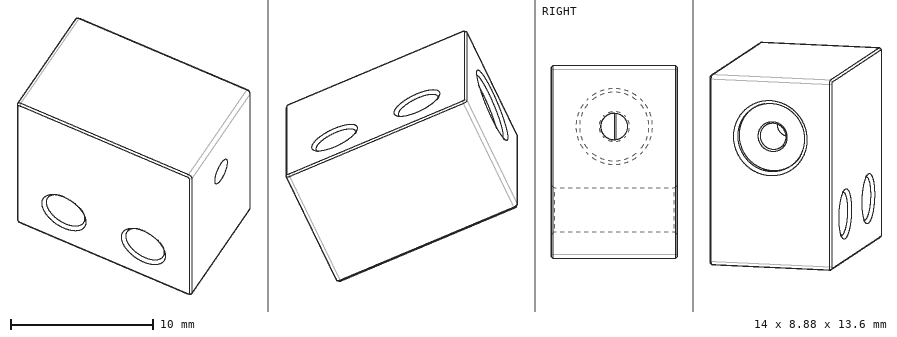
import cadquery as cq

LENGTH = 13.97
DEPTH = 8.88
HEIGHT = 13.59
CORNER_RADIUS = 0.28
FACE_CHAMFER = 0.14

MOUNT_DIAMETER = 3.07
MOUNT_RIM_DIAMETER = 3.53
MOUNT_SPACING = 6.35
MOUNT_HEIGHT = 3.42

BORE_HEIGHT = 9.29
BORE_DIAMETER = 1.87
BORE_RIM_DIAMETER = 2.12
RECESS_DIAMETER = 4.86
RECESS_RIM_DIAMETER = 5.36
RECESS_DEPTH = 0.64

PIN_DIAMETER = 3.07
PIN_END_CHAMFER = 0.13


def countersink(plane, rim_diameter, hole_diameter):
    """45 degree cone narrowing from the plane along its normal."""
    depth = (rim_diameter - hole_diameter) / 2
    return cq.Workplane(plane).circle(rim_diameter / 2).workplane(offset=depth).circle(hole_diameter / 2).loft()


def cylinder(plane, diameter, length):
    return cq.Workplane(plane).circle(diameter / 2).extrude(length)


def make_block():
    block = cq.Workplane("XY").box(LENGTH, DEPTH, HEIGHT, centered=(True, True, False))
    block = block.edges("|Y").fillet(CORNER_RADIUS)
    return block.faces("<Y or >Y").edges().chamfer(FACE_CHAMFER)


def make_mount_hole(x):
    front = cq.Plane(origin=(x, -DEPTH / 2, MOUNT_HEIGHT), xDir=(1, 0, 0), normal=(0, 1, 0))
    back = cq.Plane(origin=(x, DEPTH / 2, MOUNT_HEIGHT), xDir=(1, 0, 0), normal=(0, -1, 0))
    hole = cylinder(front, MOUNT_DIAMETER, DEPTH)
    for face in (front, back):
        hole = hole.union(countersink(face, MOUNT_RIM_DIAMETER, MOUNT_DIAMETER))
    return hole


def make_bore():
    face = cq.Plane(origin=(-LENGTH / 2, 0, BORE_HEIGHT), xDir=(0, 1, 0), normal=(1, 0, 0))
    floor = cq.Plane(origin=(-LENGTH / 2 + RECESS_DEPTH, 0, BORE_HEIGHT), xDir=(0, 1, 0), normal=(1, 0, 0))
    bore = cylinder(face, BORE_DIAMETER, LENGTH)
    bore = bore.union(cylinder(face, RECESS_DIAMETER, RECESS_DEPTH))
    bore = bore.union(countersink(face, RECESS_RIM_DIAMETER, RECESS_DIAMETER))
    return bore.union(countersink(floor, BORE_RIM_DIAMETER, BORE_DIAMETER))


def make_pin():
    middle = cq.Plane(origin=(0, 0, BORE_HEIGHT), xDir=(1, 0, 0), normal=(0, 1, 0))
    return cylinder(middle, PIN_DIAMETER, DEPTH / 2).faces("<Y").chamfer(PIN_END_CHAMFER)


result = make_block().cut(make_bore()).union(make_pin())
for side in (-1, 1):
    result = result.cut(make_mount_hole(side * MOUNT_SPACING / 2))